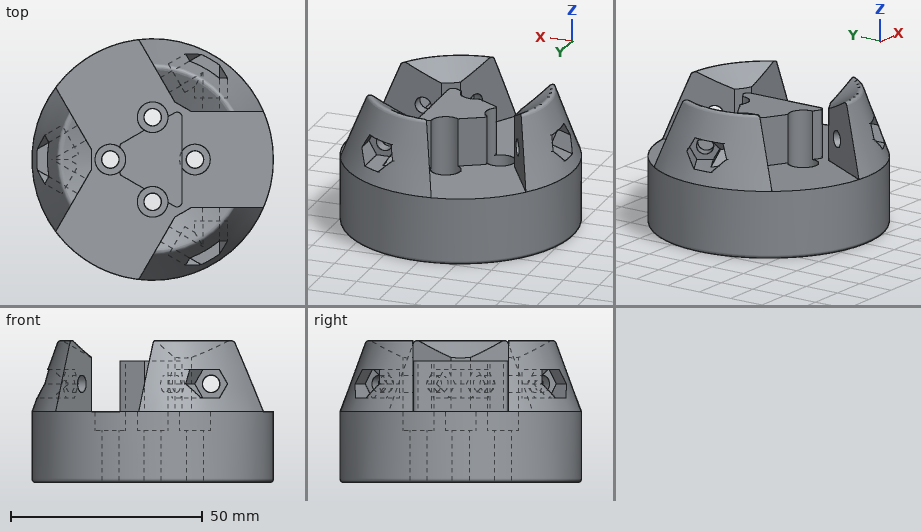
import cadquery as cq
import math

base_radius = 31.5
base_height = 18.45
bottom_round = 0.95

total_height = 37.0
jaw_top_radius = 24.65
cup_rim_radius = 23.55
cup_floor_radius = 14.25
cup_floor_height = 31.5
rim_round = 1.0
channel_width = 25.0
jaw_inner_flat = 15.9
jaw_count = 3
jaw_step = 360.0 / jaw_count

post_top = 31.7
post_inradius = 7.7
post_corner_round = 1.3
post_edge_round = 0.8

mount_offset = 11.0
mount_diameter = 4.5
counterbore_diameter = 8.0
counterbore_depth = 5.0
mount_count = 4

bolt_diameter = 4.5
bolt_distance = 15.25
bolt_height = 25.7
nut_across_flats = 7.45
nut_seat = 16.0


def about_axis(shape, count):
    """Join copies of a shape spaced evenly around Z."""
    pattern = shape
    for index in range(1, count):
        pattern = pattern.union(shape.rotate((0, 0, 0), (0, 0, 1), index * 360.0 / count))
    return pattern


def make_base():
    base = cq.Workplane("XY").circle(base_radius).extrude(base_height)
    return base.faces("<Z").edges().fillet(bottom_round)


def make_jaw_ring():
    """Conical ring with a dished, rounded top."""
    ring = (
        cq.Workplane("XZ")
        .moveTo(0, base_height)
        .lineTo(base_radius, base_height)
        .lineTo(jaw_top_radius, total_height)
        .lineTo(cup_rim_radius, total_height)
        .lineTo(cup_floor_radius, cup_floor_height)
        .lineTo(0, cup_floor_height)
        .close()
        .revolve(360, (0, 0, 0), (0, 1, 0))
    )
    return ring.faces(">Z").edges().fillet(rim_round)


def make_channels():
    """Space between the jaws: three radial slots and the flats on the jaw noses."""
    slot_height = total_height - base_height
    slot = (
        cq.Workplane("XY", origin=(0, 0, base_height))
        .rect(base_radius + 0.6, channel_width)
        .extrude(slot_height)
        .translate(((base_radius + 0.6) / 2, 0, 0))
    )
    nose_circumradius = 2 * jaw_inner_flat
    core = (
        cq.Workplane("XY", origin=(0, 0, base_height))
        .polygon(jaw_count, 2 * nose_circumradius)
        .extrude(slot_height)
    )
    return about_axis(slot, jaw_count).union(core)


def make_mount_cutter(diameter, bottom):
    """Vertical cylinder at the +X mounting hole."""
    return (
        cq.Workplane("XY", origin=(mount_offset, 0, bottom))
        .circle(diameter / 2)
        .extrude(total_height - bottom)
    )


def make_post(counterbore):
    post = (
        cq.Workplane("XY", origin=(0, 0, base_height))
        .polygon(jaw_count, 4 * post_inradius)
        .extrude(post_top - base_height)
        .rotate((0, 0, 0), (0, 0, 1), jaw_step / 2)
        .edges("|Z")
        .fillet(post_corner_round)
    )
    for index in range(1, mount_count):
        post = post.cut(counterbore.rotate((0, 0, 0), (0, 0, 1), index * 360.0 / mount_count))
    return post.edges("|Z").edges("<X").fillet(post_edge_round)


def make_bolt_cutters():
    """Bolt hole across a channel, with a hexagonal nut pocket at each end."""
    bolt = (
        cq.Workplane("XZ", origin=(bolt_distance, 0, bolt_height))
        .circle(bolt_diameter / 2)
        .extrude(base_radius, both=True)
    )
    nut_corner_diameter = nut_across_flats / math.cos(math.pi / 6)
    pocket = (
        cq.Workplane("XZ", origin=(bolt_distance, -nut_seat, bolt_height))
        .polygon(6, nut_corner_diameter)
        .extrude(base_radius - nut_seat)
    )
    cutter = bolt.union(pocket).union(pocket.mirror("XZ"))
    return about_axis(cutter, jaw_count)


counterbore = make_mount_cutter(counterbore_diameter, base_height - counterbore_depth)
mount_hole = make_mount_cutter(mount_diameter, 0)

jaws = make_jaw_ring().cut(make_channels()).cut(make_bolt_cutters())
body = make_base().union(jaws).cut(about_axis(counterbore, mount_count))
result = body.union(make_post(counterbore)).cut(about_axis(mount_hole, mount_count))